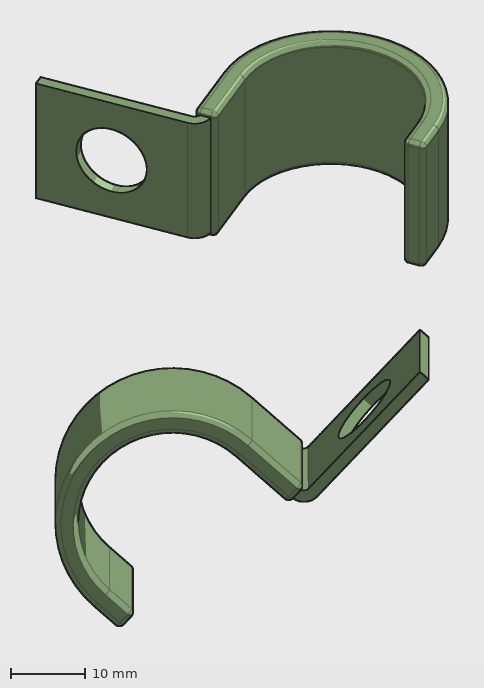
import cadquery as cq

total_length = 53.9
total_depth = 27.7
cushion_width = 20.65

strap_thickness = 1.6
cushion_wall = 0.75
strap_width = cushion_width - 2 * cushion_wall
cushion_thickness = strap_thickness + 2 * cushion_wall
edge_radius = cushion_wall

loop_outer_radius = 15.8
loop_inner_radius = loop_outer_radius - cushion_thickness
loop_x = total_length - loop_outer_radius
loop_y = total_depth - loop_outer_radius
long_leg_end_y = 2.25
short_leg_end_y = 7.1

bend_inner_radius = 0.8
bend_outer_radius = bend_inner_radius + strap_thickness
bend_x = loop_x - loop_outer_radius + cushion_wall - bend_inner_radius
bend_y = bend_outer_radius
strap_overlap = 1.6
hole_diameter = 10.35
hole_x = 11.1


def make_cushion():
    """U-shaped cushion with every edge rounded."""
    outer_left = loop_x - loop_outer_radius
    inner_left = loop_x - loop_inner_radius
    inner_right = loop_x + loop_inner_radius
    outer_right = loop_x + loop_outer_radius
    profile = (
        cq.Workplane("XY")
        .workplane(offset=-cushion_width / 2)
        .moveTo(outer_left, long_leg_end_y)
        .lineTo(outer_left, loop_y)
        .threePointArc((loop_x, loop_y + loop_outer_radius), (outer_right, loop_y))
        .lineTo(outer_right, short_leg_end_y)
        .lineTo(inner_right, short_leg_end_y)
        .lineTo(inner_right, loop_y)
        .threePointArc((loop_x, loop_y + loop_inner_radius), (inner_left, loop_y))
        .lineTo(inner_left, long_leg_end_y)
        .close()
    )
    body = profile.extrude(cushion_width)
    leg_ends = body.faces("|Y").edges()
    rims = body.faces("|Z").edges()
    return leg_ends.add(rims).fillet(edge_radius)


def make_strap():
    """Flat flange with a mounting hole, bent up into the long leg of the cushion."""
    strap_top_y = bend_y + strap_overlap
    profile = (
        cq.Workplane("XY")
        .workplane(offset=-strap_width / 2)
        .lineTo(bend_x, 0)
        .radiusArc((bend_x + bend_outer_radius, bend_y), -bend_outer_radius)
        .lineTo(bend_x + bend_outer_radius, strap_top_y)
        .lineTo(bend_x + bend_inner_radius, strap_top_y)
        .lineTo(bend_x + bend_inner_radius, bend_y)
        .radiusArc((bend_x, strap_thickness), bend_inner_radius)
        .lineTo(0, strap_thickness)
        .close()
    )
    hole = (
        cq.Workplane("XZ")
        .center(hole_x, 0)
        .circle(hole_diameter / 2)
        .extrude(-strap_thickness)
    )
    return profile.extrude(strap_width).cut(hole)


result = make_cushion().union(make_strap())